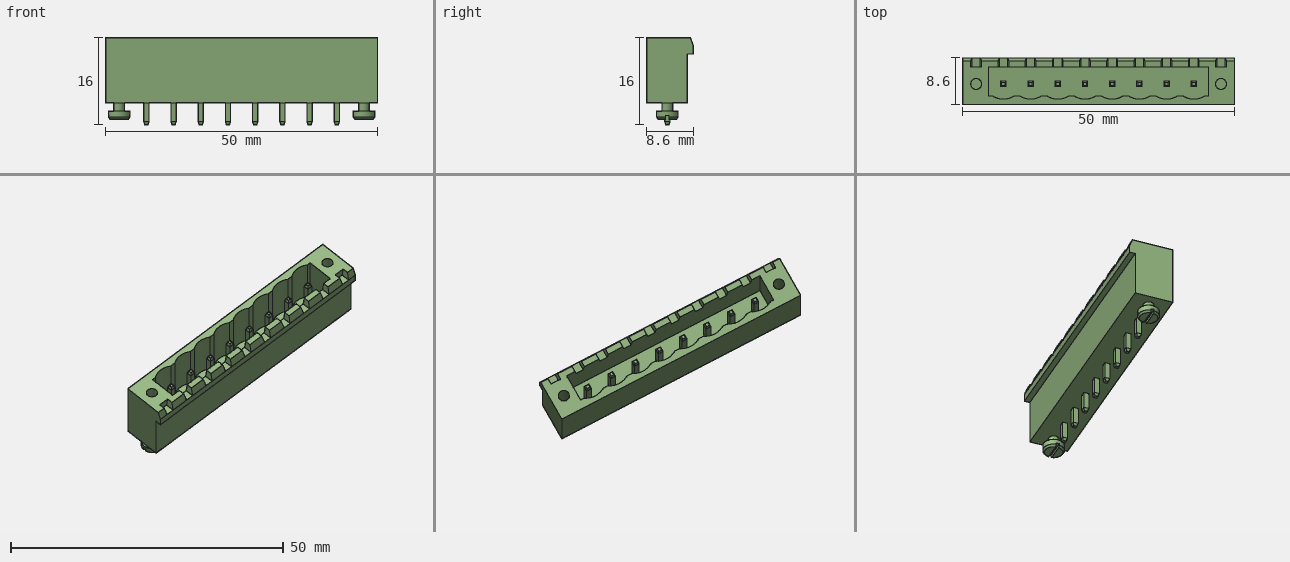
import cadquery as cq

length = 50.0
body_depth = 7.5
body_height = 12.0

lip_overhang = 1.1
lip_height = 3.0
lip_bevel_depth = 0.55
lip_bevel_height = 1.5

pin_count = 8
pitch = 5.0
row_y = 3.8
pin_width = 1.0
pin_tip_width = 0.6
pin_tip_length = 0.6
pin_bottom_z = -4.0
pin_top_z = 10.0

cavity_length = 40.4
cavity_front_y = 1.6
cavity_rear_y = 6.9
cavity_floor_z = 3.0
scallop_width = 4.0
scallop_depth = 0.6

notch_top_width = 2.0
notch_floor_width = 1.5
notch_depth = 1.5

screw_hole_diameter = 2.0
screw_hole_depth = 6.0
shank_diameter = 2.0
shank_length = 1.5
head_diameter = 4.0
head_height = 1.5
head_bevel_height = 0.4
head_bevel_width = 0.3
driver_slot_width = 0.6
driver_slot_depth = 0.7

pin_xs = [(i - (pin_count - 1) / 2) * pitch for i in range(pin_count)]
screw_xs = [pin_xs[0] - pitch, pin_xs[-1] + pitch]
lip_y = body_depth + lip_overhang


def make_housing():
    """Extrude the end profile, with its bevelled lip, along the whole length."""
    profile = [
        (0, 0),
        (body_depth, 0),
        (body_depth, body_height - lip_height),
        (lip_y, body_height - lip_height),
        (lip_y, body_height - lip_bevel_height),
        (lip_y - lip_bevel_depth, body_height),
        (0, body_height),
    ]
    return cq.Workplane("YZ").polyline(profile).close().extrude(length / 2, both=True)


def make_cavity():
    """Open-topped pocket whose front wall is scalloped at every contact."""
    half_length = cavity_length / 2
    outline = cq.Workplane("XY", origin=(0, 0, cavity_floor_z))
    outline = outline.moveTo(-half_length, cavity_rear_y).lineTo(-half_length, cavity_front_y)
    for x in pin_xs:
        outline = outline.lineTo(x - scallop_width / 2, cavity_front_y)
        outline = outline.threePointArc(
            (x, cavity_front_y - scallop_depth),
            (x + scallop_width / 2, cavity_front_y),
        )
    outline = outline.lineTo(half_length, cavity_front_y).lineTo(half_length, cavity_rear_y)
    return outline.close().extrude(body_height - cavity_floor_z)


def make_notch(x):
    """Notch with sloping sides, cut from the cavity's rear wall out through the lip."""
    floor_z = body_height - notch_depth
    profile = [
        (x - notch_floor_width / 2, floor_z),
        (x + notch_floor_width / 2, floor_z),
        (x + notch_top_width / 2, body_height),
        (x - notch_top_width / 2, body_height),
    ]
    plane = cq.Workplane("XZ", origin=(0, lip_y, 0))
    return plane.polyline(profile).close().extrude(lip_y - cavity_rear_y)


def make_pin(x):
    """Square contact pin tapered at both ends."""
    half_width = pin_width / 2
    half_tip = pin_tip_width / 2
    lower_shoulder_z = pin_bottom_z + pin_tip_length
    upper_shoulder_z = pin_top_z - pin_tip_length
    profile = [
        (-half_tip, pin_bottom_z),
        (half_tip, pin_bottom_z),
        (half_width, lower_shoulder_z),
        (half_width, upper_shoulder_z),
        (half_tip, pin_top_z),
        (-half_tip, pin_top_z),
        (-half_width, upper_shoulder_z),
        (-half_width, lower_shoulder_z),
    ]
    across_x = cq.Workplane("XZ").polyline(profile).close().extrude(half_width, both=True)
    across_y = cq.Workplane("YZ").polyline(profile).close().extrude(half_width, both=True)
    return across_x.intersect(across_y).translate((x, row_y, 0))


def make_screw(x):
    """Shank and slotted, bevelled head hanging below the housing."""
    head_radius = head_diameter / 2
    head_bottom_z = -shank_length - head_height
    profile = [
        (0, 0),
        (shank_diameter / 2, 0),
        (shank_diameter / 2, -shank_length),
        (head_radius, -shank_length),
        (head_radius, head_bottom_z + head_bevel_height),
        (head_radius - head_bevel_width, head_bottom_z),
        (0, head_bottom_z),
    ]
    screw = cq.Workplane("XZ").polyline(profile).close().revolve(360, (0, 0), (0, 1))
    slot = cq.Workplane("XY", origin=(0, 0, head_bottom_z))
    slot = slot.rect(head_diameter, driver_slot_width).extrude(driver_slot_depth)
    return screw.cut(slot).translate((x, row_y, 0))


def make_screw_hole(x):
    """Blind hole down from the top face, above a fixing screw."""
    hole = cq.Workplane("XY", origin=(x, row_y, body_height))
    return hole.circle(screw_hole_diameter / 2).extrude(-screw_hole_depth)


result = make_housing().cut(make_cavity())

for notch_x in pin_xs + screw_xs:
    result = result.cut(make_notch(notch_x))

for pin_x in pin_xs:
    result = result.union(make_pin(pin_x))

for screw_x in screw_xs:
    result = result.cut(make_screw_hole(screw_x)).union(make_screw(screw_x))